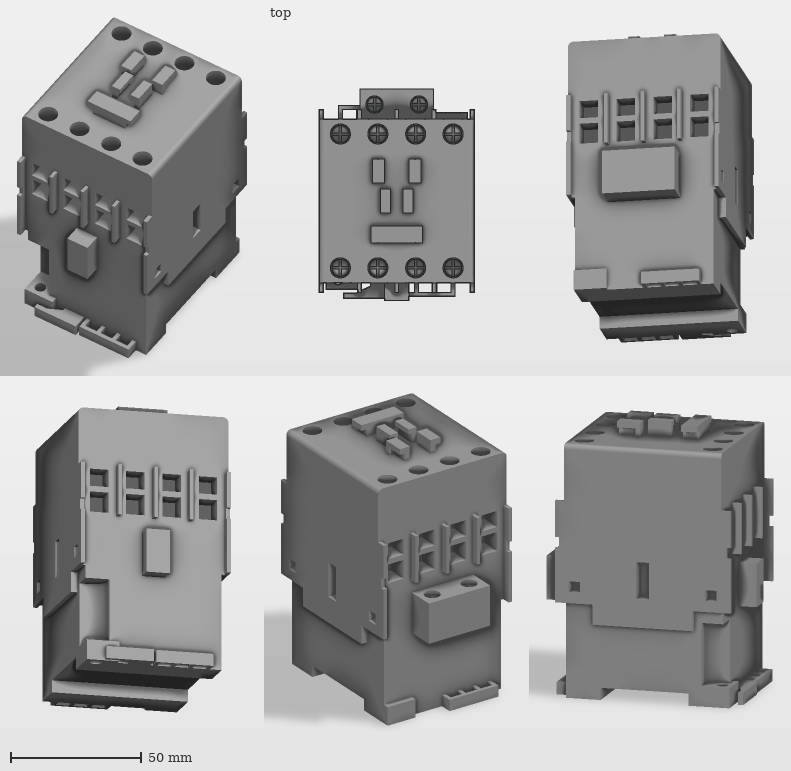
import cadquery as cq


total_height = 106.4
housing_width = 59.5
housing_depth = 62.8
housing_top = 100.3
housing_bottom = 37.9
top_edge_radius = 2.0
skirt_depth = 40.0
skirt_bottom = 30.0
base_width = 54.0

wing_span = 70.0
wing_thickness = 1.6
wing_top = 77.9
wing_notch_depth = 1.6
wing_notch_bottom = 59.3
wing_notch_top = 63.6
barrier_thickness = 1.4
barrier_bottom = 58.0
barrier_pitch = 14.3

pole_positions = (-21.6, -7.2, 7.2, 21.6)
terminal_width = 7.2
terminal_depth = 8.5
terminal_rows = ((59.3, 67.2), (69.5, 76.3))
screw_row_offset = 25.6
screw_hole_radius = 3.8
screw_hole_depth = 12.8
head_clearance = 0.5
head_height = 2.1
cross_slot_width = 1.0
cross_slot_depth = 1.1

block_bottom = 35.1
block_top = 52.2
coil_block_width = 28.3
coil_block_back = 43.0
coil_screw_offset = 8.5
coil_screw_y = 36.9
coil_screw_radius = 3.3
coil_screw_depth = 4.3
front_boss_width = 9.3
front_boss_face = -38.2

slot_width = 5.2
slot_bottom = 41.1
slot_top = 55.8
window_size = 4.5
window_center_y = 27.2
window_center_z = 44.3
side_pocket_depth = 5.9

actuator_top = 105.9
actuator_ledge_bottom = 103.4
rear_actuator_inner = 4.8
rear_actuator_outer = 9.4
rear_actuator_front = 6.8
rear_actuator_back = 16.1
rear_leg_depth = 2.0
rear_undercut = 2.1
middle_actuator_inner = 2.5
middle_actuator_outer = 6.2
middle_actuator_depth = 9.3
middle_undercut = 1.5
middle_ledge_bottom = 104.3
label_width = 19.6
label_stem_width = 14.5
label_front = -16.1
label_back = -9.6

foot_reach = 33.8
foot_height = 7.9
foot_inner_x = 14.3
recess_width = 9.6
recess_depth = 8.7
recess_top = 32.9
recess_radius = 5.2
foot_hole_x = -22.5
foot_hole_y = -29.8
foot_hole_radius = 2.2
channel_width = 35.0
clip_height = 4.8

ladder_start = -0.2
ladder_end = 22.3
ladder_reach = 36.6
ladder_thickness = 1.6
ladder_bays = 3
latch_left = -20.3
latch_right = -1.4
latch_face = -37.3
latch_tip_back = -35.3
latch_slope_start = -15.7
latch_slope_end = -10.1
latch_slope_back = -32.7

half_width = housing_width / 2
half_depth = housing_depth / 2
half_base = base_width / 2
half_wing = wing_span / 2
ends = (-1, 1)


def box(x0, x1, y0, y1, z0, z1):
    """Box between two corners; each pair of limits may come in either order."""
    size = (abs(x1 - x0), abs(y1 - y0), abs(z1 - z0))
    return cq.Workplane("XY").box(*size).translate(((x0 + x1) / 2, (y0 + y1) / 2, (z0 + z1) / 2))


def half_turn(shape):
    """Turn a shape from the front to the back about the Z axis."""
    return shape.rotate((0, 0, 0), (0, 0, 1), 180)


def make_housing():
    upper = box(-half_width, half_width, -half_depth, half_depth, housing_bottom, housing_top)
    upper = upper.edges("|Y and >Z").fillet(top_edge_radius)
    skirt = box(-half_width, half_width, -skirt_depth / 2, skirt_depth / 2, skirt_bottom, housing_bottom)
    base = box(-half_base, half_base, -half_depth, half_depth, 0, housing_bottom)
    return upper.union(skirt).union(base)


def make_wing(side):
    outer = side * half_width
    inner = outer - side * wing_thickness
    wing = box(inner, outer, -half_wing, half_wing, housing_bottom, wing_top)
    for end in ends:
        edge = end * half_wing
        notch_floor = edge - end * wing_notch_depth
        wing = wing.cut(box(inner, outer, notch_floor, edge, wing_notch_bottom, wing_notch_top))
    return wing


def make_barrier(x):
    half = barrier_thickness / 2
    return box(x - half, x + half, -half_wing, half_wing, barrier_bottom, wing_top)


def make_terminal_pocket(x, end, z0, z1):
    face = end * half_depth
    floor = face - end * terminal_depth
    return box(x - terminal_width / 2, x + terminal_width / 2, floor, face, z0, z1)


def make_screw_hole(x, y, top, radius, depth):
    """Round hole with a cross-slotted screw head standing on its floor."""
    floor = top - depth
    head_radius = radius - head_clearance
    head_top = floor + head_height
    head = cq.Workplane("XY", origin=(x, y, floor)).circle(head_radius).extrude(head_height)
    half = cross_slot_width / 2
    slot_floor = head_top - cross_slot_depth
    head = head.cut(box(x - radius, x + radius, y - half, y + half, slot_floor, head_top))
    head = head.cut(box(x - half, x + half, y - radius, y + radius, slot_floor, head_top))
    return cq.Workplane("XY", origin=(x, y, floor)).circle(radius).extrude(depth).cut(head)


def make_side_pockets(side):
    outer = side * half_width
    inner = outer - side * side_pocket_depth
    half = window_size / 2
    pockets = box(inner, outer, -slot_width / 2, slot_width / 2, slot_bottom, slot_top)
    for end in ends:
        y = end * window_center_y
        pockets = pockets.union(
            box(inner, outer, y - half, y + half, window_center_z - half, window_center_z + half)
        )
    return pockets


def make_rear_actuator(side):
    """Actuator whose outer side is undercut behind a full-width leg."""
    inner = side * rear_actuator_inner
    outer = side * rear_actuator_outer
    leg_back = rear_actuator_front + rear_leg_depth
    body = box(inner, outer, rear_actuator_front, rear_actuator_back, housing_top, actuator_top)
    undercut = box(
        outer - side * rear_undercut, outer, leg_back, rear_actuator_back, housing_top, actuator_ledge_bottom
    )
    return body.cut(undercut)


def make_middle_actuator(side):
    """Tall actuator undercut along its inner side."""
    inner = side * middle_actuator_inner
    outer = side * middle_actuator_outer
    half = middle_actuator_depth / 2
    body = box(inner, outer, -half, half, housing_top, total_height)
    undercut = box(inner, inner + side * middle_undercut, -half, half, housing_top, middle_ledge_bottom)
    return body.cut(undercut)


def make_label_holder():
    half_plate = label_width / 2
    plate = box(-half_plate, half_plate, label_front, label_back, actuator_ledge_bottom, actuator_top)
    half_stem = label_stem_width / 2
    stem = box(-half_stem, half_stem, label_front, label_back, housing_top, actuator_ledge_bottom)
    return plate.union(stem)


def make_ladder_clip():
    """Front rail clip: a bar held off the housing by evenly spaced ribs."""
    bar_back = -ladder_reach + ladder_thickness
    clip = box(ladder_start, ladder_end, -ladder_reach, bar_back, 0, clip_height)
    rib_pitch = (ladder_end - ladder_start - ladder_thickness) / ladder_bays
    for i in range(ladder_bays + 1):
        x = ladder_start + i * rib_pitch
        clip = clip.union(box(x, x + ladder_thickness, bar_back, -half_depth, 0, clip_height))
    return clip


def make_latch():
    """Front latch, sloping from the housing to a thin tip."""
    outline = [
        (latch_left, latch_face),
        (latch_right, latch_face),
        (latch_right, -half_depth),
        (latch_slope_end, -half_depth),
        (latch_slope_end, latch_slope_back),
        (latch_slope_start, latch_tip_back),
        (latch_left, latch_tip_back),
    ]
    return cq.Workplane("XY").polyline(outline).close().extrude(clip_height)


def make_foot():
    return box(-half_base, -foot_inner_x, -foot_reach, -half_depth, 0, foot_height)


def make_corner_recess():
    """Recess above the front foot that gives access to its mounting hole."""
    inner_x = -half_base + recess_width
    inner_y = -half_depth + recess_depth
    recess = box(-half_base, inner_x, -half_depth, inner_y, foot_height, recess_top)
    return recess.edges("|Z and >X and >Y").fillet(recess_radius)


body = make_housing()
for side in ends:
    body = body.union(make_wing(side))
    body = body.union(make_rear_actuator(side))
    body = body.union(make_middle_actuator(side))
for i in (-1, 0, 1):
    body = body.union(make_barrier(i * barrier_pitch))
body = body.union(make_label_holder())

half_coil = coil_block_width / 2
body = body.union(box(-half_coil, half_coil, half_depth, coil_block_back, block_bottom, block_top))
half_boss = front_boss_width / 2
body = body.union(box(-half_boss, half_boss, front_boss_face, -half_depth, block_bottom, block_top))

for part in (make_foot(), make_ladder_clip()):
    body = body.union(part).union(half_turn(part))
body = body.union(make_latch())

for end in ends:
    for x in pole_positions:
        for z0, z1 in terminal_rows:
            body = body.cut(make_terminal_pocket(x, end, z0, z1))
        body = body.cut(
            make_screw_hole(x, end * screw_row_offset, housing_top, screw_hole_radius, screw_hole_depth)
        )
for side in ends:
    coil_screw_x = side * coil_screw_offset
    body = body.cut(
        make_screw_hole(coil_screw_x, coil_screw_y, block_top, coil_screw_radius, coil_screw_depth)
    )
    body = body.cut(make_side_pockets(side))

body = body.cut(make_corner_recess())
foot_hole = cq.Workplane("XY").center(foot_hole_x, foot_hole_y).circle(foot_hole_radius).extrude(foot_height)
body = body.cut(foot_hole)
half_channel = channel_width / 2
body = body.cut(box(-half_width, half_width, -half_channel, half_channel, 0, clip_height))

result = body